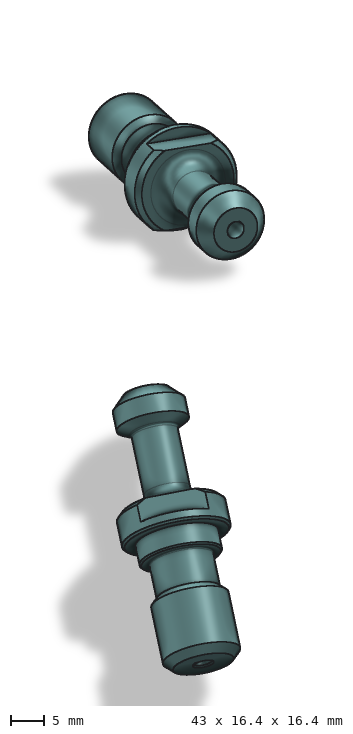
import cadquery as cq
import math

length = 43.0
thread_end = 10.15
pilot_start = 16.73
flange_start = 20.0
flat_start = 21.5
flange_end = 25.0
underside_start = 36.55
head_taper_start = 40.95

thread_diameter = 11.75
neck_diameter = 9.65
pilot_diameter = 12.5
flange_diameter = 16.45
stem_diameter = 7.0
head_diameter = 10.95
bore_diameter = 2.65

thread_chamfer = 1.3
pilot_chamfer = 0.25
neck_fillet = 0.2
flange_front_chamfer = 0.35
flange_back_chamfer = 0.8
stem_fillet = 2.5
underside_angle = math.radians(60)
underside_fillet = 0.5
bore_chamfer = 0.25
across_flats = 12.85

thread_radius = thread_diameter / 2
neck_radius = neck_diameter / 2
pilot_radius = pilot_diameter / 2
flange_radius = flange_diameter / 2
stem_radius = stem_diameter / 2
head_radius = head_diameter / 2
bore_radius = bore_diameter / 2


def make_body():
    """Revolve the outer half profile around the X axis."""
    thread_runout = thread_radius - neck_radius

    neck_round_x = pilot_start - neck_fillet
    neck_round_y = neck_radius + neck_fillet
    neck_round_mid = neck_fillet * math.sqrt(0.5)

    round_x = flange_end + stem_fillet
    round_y = stem_radius + stem_fillet
    round_mid = stem_fillet * math.sqrt(0.5)

    small_y = stem_radius + underside_fillet
    half_angle = underside_angle / 2

    def small_round_point(angle):
        return (
            underside_start + underside_fillet * math.sin(angle),
            small_y - underside_fillet * math.cos(angle),
        )

    cone_x, cone_y = small_round_point(underside_angle)
    head_start = cone_x + (head_radius - cone_y) / math.tan(underside_angle)

    profile = (
        cq.Workplane("XY")
        .moveTo(0, 0)
        .lineTo(0, thread_radius - thread_chamfer)
        .lineTo(thread_chamfer, thread_radius)
        .lineTo(thread_end, thread_radius)
        .lineTo(thread_end + thread_runout, neck_radius)
        .lineTo(pilot_start - neck_fillet, neck_radius)
        .threePointArc(
            (neck_round_x + neck_round_mid, neck_round_y - neck_round_mid),
            (pilot_start, neck_round_y),
        )
        .lineTo(pilot_start, pilot_radius - pilot_chamfer)
        .lineTo(pilot_start + pilot_chamfer, pilot_radius)
        .lineTo(flange_start, pilot_radius)
        .lineTo(flange_start, flange_radius - flange_front_chamfer)
        .lineTo(flange_start + flange_front_chamfer, flange_radius)
        .lineTo(flange_end - flange_back_chamfer, flange_radius)
        .lineTo(flange_end, flange_radius - flange_back_chamfer)
        .lineTo(flange_end, round_y)
        .threePointArc((round_x - round_mid, round_y - round_mid), (round_x, stem_radius))
        .lineTo(underside_start, stem_radius)
        .threePointArc(small_round_point(half_angle), (cone_x, cone_y))
        .lineTo(head_start, head_radius)
        .lineTo(head_taper_start, head_radius)
        .lineTo(length, stem_radius)
        .lineTo(length, 0)
        .close()
    )
    return profile.revolve(360, (0, 0, 0), (1, 0, 0))


def make_bore():
    """Through bore with a chamfered mouth at the threaded end."""
    mouth_radius = bore_radius + bore_chamfer
    profile = (
        cq.Workplane("XY")
        .moveTo(0, 0)
        .lineTo(0, mouth_radius)
        .lineTo(bore_chamfer, bore_radius)
        .lineTo(length, bore_radius)
        .lineTo(length, 0)
        .close()
    )
    return profile.revolve(360, (0, 0, 0), (1, 0, 0))


def make_flat_cutter(side):
    """Block that trims one wrench flat, above (+1) or below (-1) the axis."""
    cut_length = flange_end - flat_start
    cut_depth = (flange_diameter - across_flats) / 2
    center = (
        flat_start + cut_length / 2,
        0,
        side * (across_flats + cut_depth) / 2,
    )
    return cq.Workplane("XY").box(cut_length, flange_diameter, cut_depth).translate(center)


result = make_body().cut(make_bore())
for side in (1, -1):
    result = result.cut(make_flat_cutter(side))